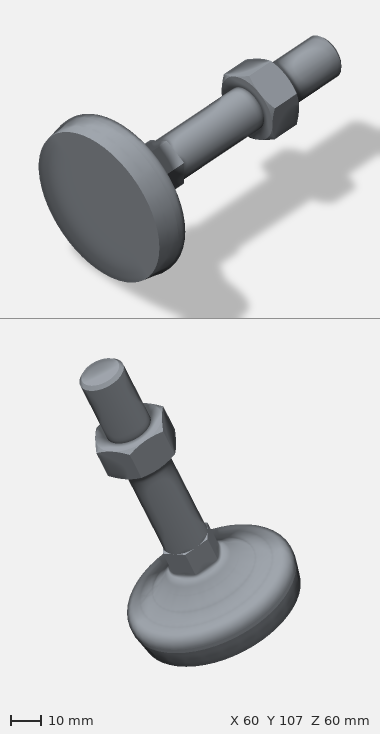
import cadquery as cq
import math

total_length = 107.0

foot_diameter = 60.0
sole_diameter = 57.0
foot_height = 22.0
rim_bottom = 7.5
rim_top = 9.0
shoulder_radius = 4.0
hollow_radius = 26.5
hollow_centre_offset = 30.5
crown_radius = 5.0

neck_diameter = 10.0
spindle_diameter = 16.0
spindle_chamfer = 1.2
spindle_hex_flats = 16.0
spindle_hex_start = 23.0
spindle_hex_length = 9.0

nut_flats = 24.0
nut_start = 69.5
nut_thickness = 12.5
nut_chamfer_angle = 30.0


def hex_corner_diameter(flats):
    return flats / math.cos(math.pi / 6)


def cylinder(diameter, start, end):
    """Cylinder on the Y axis between two Y positions."""
    return cq.Workplane("XZ", origin=(0, start, 0)).circle(diameter / 2).extrude(start - end)


def hexagon(flats, start, length):
    """Hexagonal prism on the Y axis, with flats facing +X and -X."""
    return (
        cq.Workplane("XZ", origin=(0, start, 0))
        .transformed(rotate=(0, 0, 90))
        .polygon(6, hex_corner_diameter(flats))
        .extrude(-length)
    )


def revolve_about_y(profile):
    return profile.close().revolve(360, (0, 0, 0), (0, 1, 0))


def point_on_arc(centre, radius, angle):
    """Point at an angle measured from +Y towards +X."""
    return (centre[0] + radius * math.sin(angle), centre[1] + radius * math.cos(angle))


def make_foot():
    """Tapered disc with a shoulder, hollow flank and crown as tangent arcs."""
    rim_radius = foot_diameter / 2

    shoulder_centre = (rim_radius - shoulder_radius, rim_top)
    shoulder_reach = hollow_radius + shoulder_radius
    shoulder_end = math.asin((hollow_centre_offset - shoulder_centre[0]) / shoulder_reach)
    hollow_centre = point_on_arc(shoulder_centre, shoulder_reach, shoulder_end)

    crown_centre_y = foot_height - crown_radius
    crown_reach = hollow_radius + crown_radius
    crown_end = math.acos((hollow_centre[1] - crown_centre_y) / crown_reach)
    crown_centre = (hollow_centre[0] - crown_reach * math.sin(crown_end), crown_centre_y)

    shoulder_middle = (shoulder_end + math.pi / 2) / 2
    hollow_middle = math.pi + (shoulder_end + crown_end) / 2

    profile = (
        cq.Workplane("XY")
        .lineTo(sole_diameter / 2, 0)
        .lineTo(rim_radius, rim_bottom)
        .lineTo(rim_radius, rim_top)
        .threePointArc(
            point_on_arc(shoulder_centre, shoulder_radius, shoulder_middle),
            point_on_arc(shoulder_centre, shoulder_radius, shoulder_end),
        )
        .threePointArc(
            point_on_arc(hollow_centre, hollow_radius, hollow_middle),
            point_on_arc(crown_centre, crown_radius, crown_end),
        )
        .threePointArc(
            point_on_arc(crown_centre, crown_radius, crown_end / 2),
            point_on_arc(crown_centre, crown_radius, 0),
        )
        .lineTo(0, foot_height)
    )
    return revolve_about_y(profile)


def make_spindle():
    """Neck, wrench hexagon and chamfered shank, stacked along Y."""
    hex_end = spindle_hex_start + spindle_hex_length
    neck = cylinder(neck_diameter, foot_height, spindle_hex_start)
    wrench_hex = hexagon(spindle_hex_flats, spindle_hex_start, spindle_hex_length)
    shank = cylinder(spindle_diameter, hex_end, total_length).faces(">Y").chamfer(spindle_chamfer)
    return neck.union(wrench_hex).union(shank)


def make_nut():
    """Hexagon nut with its corners turned off conically at both faces."""
    face_radius = nut_flats / 2
    corner_radius = hex_corner_diameter(nut_flats) / 2
    chamfer_height = (corner_radius - face_radius) * math.tan(math.radians(nut_chamfer_angle))
    nut_end = nut_start + nut_thickness
    turned_blank = revolve_about_y(
        cq.Workplane("XY")
        .moveTo(0, nut_start)
        .lineTo(face_radius, nut_start)
        .lineTo(corner_radius, nut_start + chamfer_height)
        .lineTo(corner_radius, nut_end - chamfer_height)
        .lineTo(face_radius, nut_end)
        .lineTo(0, nut_end)
    )
    return hexagon(nut_flats, nut_start, nut_thickness).intersect(turned_blank)


result = make_foot().union(make_spindle()).union(make_nut())